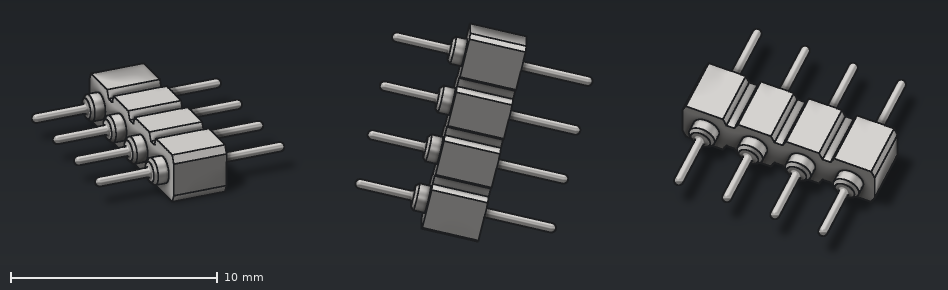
import cadquery as cq
import math

pin_count = 4
pitch = 2.54
length = pin_count * pitch
height = 2.54
depth = 2.8
notch_top_width = 0.79
notch_floor_width = 0.43
notch_depth = 0.42
end_chamfer_run = (notch_top_width - notch_floor_width) / 2

pin_reach = 3.6
pin_radius = 0.239
root_fillet = 0.14

collar_radius = 0.68
collar_length = 0.72
collar_chamfer = 0.16


def make_housing():
    """Block with chamfered ends and trapezoidal notches between the cells."""
    top = height / 2
    shoulder = top - notch_depth
    end = length / 2
    half_outline = [(-end, shoulder), (-end + end_chamfer_run, top)]
    for i in range(1, pin_count):
        x = -end + i * pitch
        half_outline += [
            (x - notch_top_width / 2, top),
            (x - notch_floor_width / 2, shoulder),
            (x + notch_floor_width / 2, shoulder),
            (x + notch_top_width / 2, top),
        ]
    half_outline += [(end - end_chamfer_run, top), (end, shoulder)]
    mirrored = [(x, -z) for x, z in reversed(half_outline)]
    return (
        cq.Workplane("XZ")
        .polyline(half_outline + mirrored)
        .close()
        .extrude(depth / 2, both=True)
    )


def make_pin():
    """Revolved pin on the Y axis: round tips, concave root fillets and a chamfered collar."""
    front_face = -depth / 2
    rear_face = depth / 2
    front_tip = front_face - pin_reach
    rear_tip = rear_face + pin_reach
    collar_end = front_face - collar_length
    root_radius = pin_radius + root_fillet
    diagonal = math.sqrt(0.5)
    tip_mid = pin_radius * diagonal
    tip_inset = pin_radius - tip_mid
    fillet_mid_radius = root_radius - root_fillet * diagonal
    fillet_mid_offset = root_fillet * (1 - diagonal)
    return (
        cq.Workplane("XY")
        .moveTo(0, front_tip)
        .threePointArc((tip_mid, front_tip + tip_inset), (pin_radius, front_tip + pin_radius))
        .lineTo(pin_radius, collar_end - root_fillet)
        .threePointArc((fillet_mid_radius, collar_end - fillet_mid_offset), (root_radius, collar_end))
        .lineTo(collar_radius - collar_chamfer, collar_end)
        .lineTo(collar_radius, collar_end + collar_chamfer)
        .lineTo(collar_radius, front_face)
        .lineTo(root_radius, front_face)
        .lineTo(root_radius, rear_face)
        .threePointArc(
            (fillet_mid_radius, rear_face + fillet_mid_offset), (pin_radius, rear_face + root_fillet)
        )
        .lineTo(pin_radius, rear_tip - pin_radius)
        .threePointArc((tip_mid, rear_tip - tip_inset), (0, rear_tip))
        .close()
        .revolve(360, (0, 0, 0), (0, 1, 0))
    )


result = make_housing()
pin = make_pin()
for i in range(pin_count):
    pin_x = (i - (pin_count - 1) / 2) * pitch
    result = result.union(pin.translate((pin_x, 0, 0)))